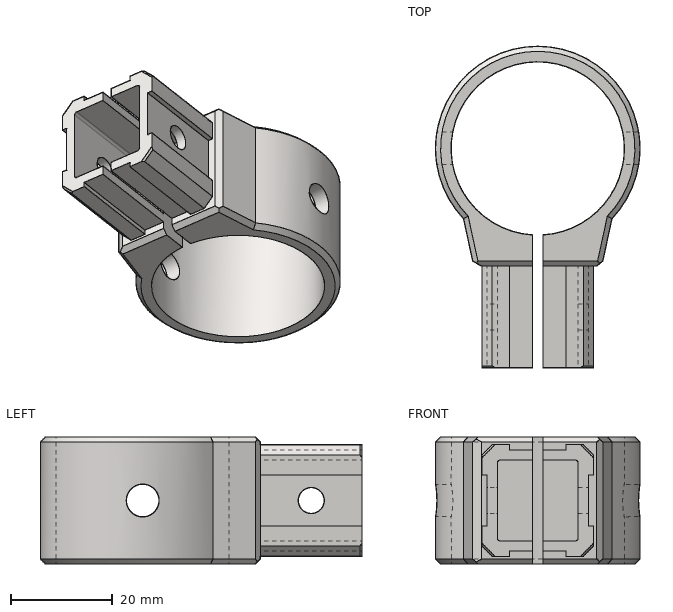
import cadquery as cq
import math

outer_radius = 20.1
bore_radius = 17.0
height = 25.0
edge_chamfer = 1.0
ring_hole_diameter = 6.4

total_length = 63.2
tube_length = 20.0
tube_end_y = outer_radius - total_length
neck_front_y = tube_end_y + tube_length
neck_front_half_width = 12.6
neck_back_half_width = 14.6
neck_back_y = -math.sqrt(outer_radius**2 - neck_back_half_width**2)

corner_side_cut = 1.0
left_corner_front_cut = 1.5
right_corner_front_cut = 1.0

tube_width = 21.9
tube_corner_chamfer = 2.0
tube_end_chamfer = 0.4
pocket_width = 15.85
pocket_corner_radius = 0.5
groove_depth = 1.0
horizontal_groove_width = 11.2
side_groove_width = 10.1
tube_hole_diameter = 5.05

slit_width = 2.0


def cross_hole(diameter, y):
    """Cylinder along X, long enough to cross the whole part."""
    return cq.Workplane("YZ").center(y, 0).circle(diameter / 2).extrude(outer_radius, both=True)


def tube_box(x_size, z_size):
    """Box along the full tube length, centred on the tube axis."""
    return cq.Workplane("XY").box(x_size, tube_length, z_size).translate(
        (0, tube_end_y + tube_length / 2, 0)
    )


def neck_corner_cut(side, front_cut):
    """Upright prism that bevels one front corner of the neck (side is -1 left, 1 right)."""
    slope = (neck_back_half_width - neck_front_half_width) / (neck_back_y - neck_front_y)
    side_cut_x = neck_front_half_width + slope * corner_side_cut
    return (
        cq.Workplane("XY")
        .moveTo(side * neck_front_half_width, neck_front_y)
        .lineTo(side * (neck_front_half_width - front_cut), neck_front_y)
        .lineTo(side * side_cut_x, neck_front_y + corner_side_cut)
        .close()
        .extrude(height, both=True)
    )


def make_collar():
    """Ring and neck as one bevelled block, with the bore cut through."""
    collar = (
        cq.Workplane("XY", origin=(0, 0, -height / 2))
        .moveTo(-neck_back_half_width, neck_back_y)
        .threePointArc((0, outer_radius), (neck_back_half_width, neck_back_y))
        .lineTo(neck_front_half_width, neck_front_y)
        .lineTo(-neck_front_half_width, neck_front_y)
        .close()
        .extrude(height)
    )
    collar = collar.faces("<Z or >Z").edges().chamfer(edge_chamfer)
    collar = collar.cut(neck_corner_cut(-1, left_corner_front_cut))
    collar = collar.cut(neck_corner_cut(1, right_corner_front_cut))
    bore = cq.Workplane("XY").circle(bore_radius).extrude(height, both=True)
    return collar.cut(bore)


def make_tube():
    """Grooved square tube, open at its front end and closed by the neck."""
    tube = tube_box(tube_width, tube_width).edges("|Y").chamfer(tube_corner_chamfer)
    tube = tube.faces("<Y").edges("not (|X or |Z)").chamfer(tube_end_chamfer)

    groove_offset = tube_width / 2
    for side in (-1, 1):
        horizontal_groove = tube_box(horizontal_groove_width, 2 * groove_depth)
        side_groove = tube_box(2 * groove_depth, side_groove_width)
        tube = tube.cut(horizontal_groove.translate((0, 0, side * groove_offset)))
        tube = tube.cut(side_groove.translate((side * groove_offset, 0, 0)))

    pocket = tube_box(pocket_width, pocket_width).edges("|Y").fillet(pocket_corner_radius)
    return tube.cut(pocket)


def make_slit():
    """Slit from the bore to the free end of the tube, over the full height."""
    slit_length = -tube_end_y
    return cq.Workplane("XY").box(slit_width, slit_length, height).translate((0, -slit_length / 2, 0))


result = (
    make_collar()
    .union(make_tube())
    .cut(cross_hole(ring_hole_diameter, 0))
    .cut(cross_hole(tube_hole_diameter, tube_end_y + tube_length / 2))
    .cut(make_slit())
)